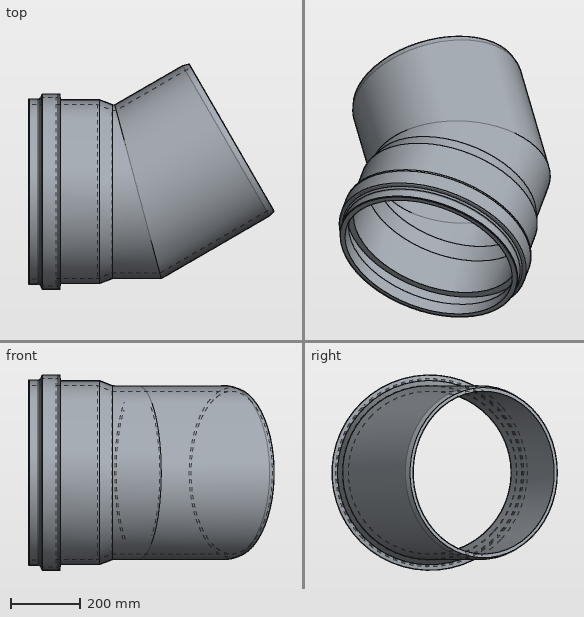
import cadquery as cq
import math

bend_angle = 30.0
bend_x = 317.0
outlet_length = 312.5

pipe_radius = 502.0 / 2
pipe_bore_radius = 470.0 / 2
outlet_tip_radius = 246.0
outlet_chamfer_length = 18.5

socket_radius = 532.0 / 2
socket_bore_radius = 503.0 / 2
cone_start_x = 205.0
cone_end_x = 244.0
bore_cone_start_x = 200.5
bore_cone_end_x = 241.5

flange_radius = 565.0 / 2
skirt_end_x = 86.0
flange_end_x = 91.0
flange_foot_x = 93.0

lip_radius = 536.5 / 2
lip_edge_radius = 534.0 / 2
lip_edge_length = 3.0
lip_bore_radius = 505.0 / 2
lip_end_x = 27.0
lip_back_x = 30.5
groove_start_x = 36.0
groove_end_x = 80.0
shoulder_radius = 272.0
groove_radius = shoulder_radius
skirt_bevel_x = 38.0
skirt_bevel_radius = 278.0
skirt_start_x = 40.5


def revolve_about_x(points):
    """Turn a closed (x, radius) outline once around the X axis."""
    outline = cq.Workplane("XY").polyline(points).close()
    return outline.revolve(360, (0, 0, 0), (1, 0, 0))


def miter_half_space():
    """Block that fills the socket side of the plane halving the bend."""
    size = 4 * (bend_x + outlet_length)
    block = cq.Workplane("XY").box(size, size, size).translate((-size / 2, 0, 0))
    return block.rotate((0, 0, 0), (0, 0, 1), bend_angle / 2).translate((bend_x, 0, 0))


miter_overrun = 2 * pipe_radius * math.tan(math.radians(bend_angle / 2))


def make_socket_leg():
    end_x = bend_x + miter_overrun
    leg = revolve_about_x([
        (groove_end_x, socket_bore_radius),
        (groove_end_x, groove_radius),
        (skirt_end_x, groove_radius),
        (skirt_end_x, flange_radius),
        (flange_end_x, flange_radius),
        (flange_foot_x, socket_radius),
        (cone_start_x, socket_radius),
        (cone_end_x, pipe_radius),
        (end_x, pipe_radius),
        (end_x, pipe_bore_radius),
        (bore_cone_end_x, pipe_bore_radius),
        (bore_cone_start_x, socket_bore_radius),
    ])
    return leg.intersect(miter_half_space())


def make_outlet_leg():
    leg = revolve_about_x([
        (-miter_overrun, pipe_bore_radius),
        (-miter_overrun, pipe_radius),
        (outlet_length - outlet_chamfer_length, pipe_radius),
        (outlet_length, outlet_tip_radius),
        (outlet_length, pipe_bore_radius),
    ])
    leg = leg.rotate((0, 0, 0), (0, 0, 1), bend_angle).translate((bend_x, 0, 0))
    return leg.cut(miter_half_space())


def make_elbow():
    return make_socket_leg().union(make_outlet_leg())


def make_retaining_cap():
    return revolve_about_x([
        (0, lip_bore_radius),
        (0, lip_edge_radius),
        (lip_edge_length, lip_radius),
        (lip_end_x, lip_radius),
        (lip_back_x, lip_edge_radius),
        (groove_start_x, shoulder_radius),
        (skirt_bevel_x, skirt_bevel_radius),
        (skirt_start_x, flange_radius),
        (skirt_end_x, flange_radius),
        (skirt_end_x, groove_radius),
        (skirt_start_x, groove_radius),
        (groove_start_x, lip_bore_radius),
    ])


elbow = make_elbow()
retaining_cap = make_retaining_cap()
result = cq.Compound.makeCompound([elbow.val(), retaining_cap.val()])